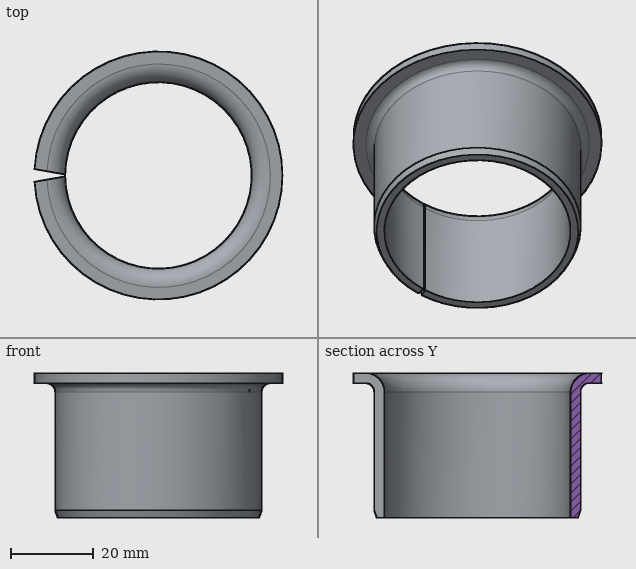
import cadquery as cq
import math

bore_radius = 22.5
wall = 2.5
flange_radius = 30.0
height = 35.0
outer_bend_radius = 2.0
lead_in_height = 1.8
lead_in_angle = 20.0
split_gap = 0.4
split_side_angle = 10.0

sleeve_radius = bore_radius + wall
inner_bend_radius = outer_bend_radius + wall
lead_in_width = lead_in_height * math.tan(math.radians(lead_in_angle))
flange_underside = height - wall
bend_center_radius = sleeve_radius + outer_bend_radius
bend_center_height = flange_underside - outer_bend_radius


def bend_midpoint(radius):
    """Point halfway round a quarter bend, on the side facing the bore and top."""
    offset = radius * math.sqrt(0.5)
    return (bend_center_radius - offset, bend_center_height + offset)


def make_flanged_sleeve():
    """Sleeve and flange as one wall section revolved about Z."""
    section = (
        cq.Workplane("XZ")
        .moveTo(bore_radius, 0)
        .lineTo(sleeve_radius - lead_in_width, 0)
        .lineTo(sleeve_radius, lead_in_height)
        .lineTo(sleeve_radius, bend_center_height)
        .threePointArc(bend_midpoint(outer_bend_radius), (bend_center_radius, flange_underside))
        .lineTo(flange_radius, flange_underside)
        .lineTo(flange_radius, height)
        .lineTo(bend_center_radius, height)
        .threePointArc(bend_midpoint(inner_bend_radius), (bore_radius, bend_center_height))
        .close()
    )
    sleeve = section.revolve(360, (0, 0, 0), (0, 1, 0))
    return sleeve.rotate((0, 0, 0), (0, 0, 1), 180)


def make_split():
    """Full-height wedge on the -X side, opening outward from the bore."""
    side_slope = math.tan(math.radians(split_side_angle))
    apex_x = -bore_radius + split_gap / 2 / side_slope
    mouth_x = -flange_radius - wall
    mouth_half_width = (apex_x - mouth_x) * side_slope
    return (
        cq.Workplane("XY")
        .moveTo(apex_x, 0)
        .lineTo(mouth_x, mouth_half_width)
        .lineTo(mouth_x, -mouth_half_width)
        .close()
        .extrude(height)
    )


result = make_flanged_sleeve().cut(make_split())